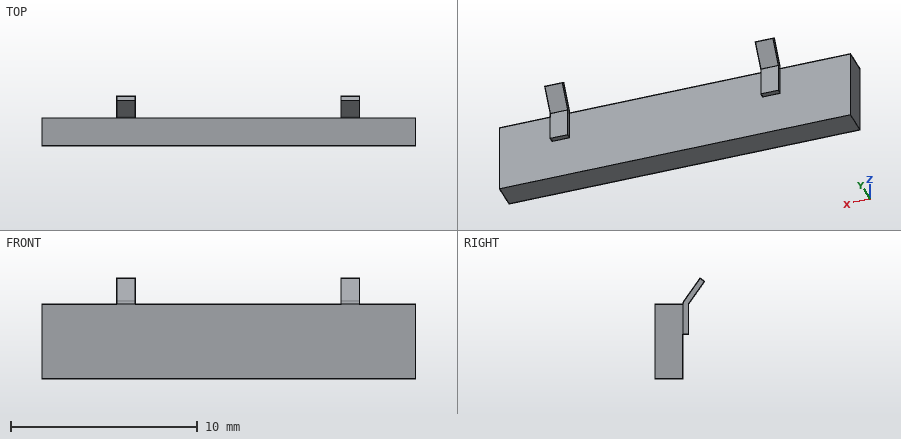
import cadquery as cq
import math

bar_length = 20.0
bar_thickness = 1.5
bar_height = 4.0

tab_width = 1.0
tab_thickness = 0.3
tab_starts = (4.0, 16.0)
tab_overlap = 1.62
arm_length = 1.492
arm_angle = 35.2


def make_bar():
    return cq.Workplane("XY").box(bar_length, bar_thickness, bar_height, centered=False)


def make_tab(start_x):
    """Flat leg, bend and leaning arm; the bend is sharp inside and round outside."""
    back = bar_thickness
    pivot_y = back + tab_thickness
    pivot_z = bar_height
    foot_z = bar_height - tab_overlap

    def on_bend(degrees):
        """Point on the outer face of the bend after turning by the given angle."""
        turn = math.radians(degrees)
        return (
            pivot_y - tab_thickness * math.cos(turn),
            pivot_z + tab_thickness * math.sin(turn),
        )

    lean = math.radians(arm_angle)
    arm_y = arm_length * math.sin(lean)
    arm_z = arm_length * math.cos(lean)
    bend_end_y, bend_end_z = on_bend(arm_angle)

    profile = (
        cq.Workplane("YZ", origin=(start_x, 0, 0))
        .moveTo(back, foot_z)
        .lineTo(back, pivot_z)
        .threePointArc(on_bend(arm_angle / 2), (bend_end_y, bend_end_z))
        .lineTo(bend_end_y + arm_y, bend_end_z + arm_z)
        .lineTo(pivot_y + arm_y, pivot_z + arm_z)
        .lineTo(pivot_y, pivot_z)
        .lineTo(pivot_y, foot_z)
        .close()
    )
    return profile.extrude(tab_width)


result = make_bar()
for tab_start in tab_starts:
    result = result.union(make_tab(tab_start))